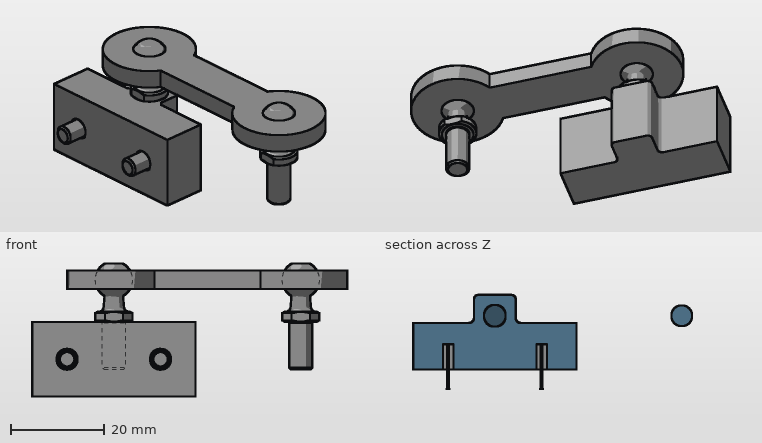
import cadquery as cq
import math

block_length = 35.0
block_depth = 10.0
block_height = 16.0
lug_width = 9.0
lug_reach = 6.0
lug_fillet = 1.0

stud_spacing = 40.0
stud_x = block_length / 2
stud_y = block_depth + lug_reach - lug_width / 2
stud_positions = [(stud_x, stud_y), (stud_x + stud_spacing, stud_y)]
ball_diameter = 8.0
ball_height = 9.0
ball_flat_height = 3.5
neck_top_diameter = 4.0
neck_bottom_diameter = 4.6
neck_top_fillet = 0.4
neck_bottom_fillet = 0.95
ball_flat_fillet = 0.2
collar_diameter = 8.0
collar_across_flats = 7.0
collar_height = 2.2
collar_face_diameter = 6.8
collar_chamfer_angle = 30.0
shoulder_diameter = 5.1
shoulder_length = 0.2
thread_diameter = 5.0
thread_core_diameter = 4.13
thread_length = 10.2

link_thickness = 4.0
link_eye_diameter = 20.0
link_bar_width = 10.0

pin_spacing = 20.0
pin_diameter = 4.0
pin_clearance_diameter = 4.5
pin_length = 10.0
pin_protrusion = 4.6
pin_chamfer = 0.45
pin_z = block_height / 2
pin_positions = [block_length / 2 - pin_spacing / 2, block_length / 2 + pin_spacing / 2]

ball_radius = ball_diameter / 2
ball_z = block_height + ball_height


def cylinder_along_y(x, y_start, length, diameter):
    """Cylinder at pin height that runs from y_start towards +Y."""
    plane = cq.Plane(origin=(x, y_start, pin_z), xDir=(1, 0, 0), normal=(0, 1, 0))
    return cq.Workplane(plane).circle(diameter / 2).extrude(length)


def make_block():
    """T-shaped block with a rear lug, a stud hole and blind clearance holes for the pins."""
    body = cq.Workplane("XY").box(block_length, block_depth, block_height, centered=False)
    lug = (
        cq.Workplane("XY")
        .center(stud_x, (block_depth + lug_reach) / 2)
        .rect(lug_width, block_depth + lug_reach)
        .extrude(block_height)
    )
    body = body.union(lug)
    lug_left = stud_x - lug_width / 2
    lug_right = stud_x + lug_width / 2
    lug_edges = cq.selectors.BoxSelector(
        (lug_left - lug_fillet, block_depth - lug_fillet, 0),
        (lug_right + lug_fillet, block_depth + lug_reach + lug_fillet, block_height),
    )
    body = body.edges("|Z").edges(lug_edges).fillet(lug_fillet)
    for x in pin_positions:
        body = body.cut(cylinder_along_y(x, 0, pin_length - pin_protrusion, pin_clearance_diameter))
    return body


def fillet_ring(body, ring_radius, z, fillet_radius):
    """Round the circular edge of a Z-axis turned body that has the given radius and height."""
    reach = ring_radius + fillet_radius / 2
    ring = cq.selectors.BoxSelector(
        (-reach, -reach, z - fillet_radius / 2),
        (reach, reach, z + fillet_radius / 2),
        boundingbox=True,
    )
    return body.edges(ring).fillet(fillet_radius)


def make_stud(x, y):
    """Turned stud: threaded shank, collar with two flats, tapered neck and flat-topped ball."""
    thread_radius = thread_diameter / 2
    core_radius = thread_core_diameter / 2
    thread_chamfer = thread_radius - core_radius
    collar_radius = collar_diameter / 2
    collar_rim = collar_face_diameter / 2
    collar_chamfer = (collar_radius - collar_rim) * math.tan(math.radians(collar_chamfer_angle))
    shoulder_radius = shoulder_diameter / 2
    neck_bottom_radius = neck_bottom_diameter / 2
    neck_radius = neck_top_diameter / 2
    neck_meets_ball = ball_height - math.sqrt(ball_radius**2 - neck_radius**2)
    flat_radius = math.sqrt(ball_radius**2 - ball_flat_height**2)
    profile = (
        cq.Workplane("XZ")
        .moveTo(0, -thread_length)
        .lineTo(core_radius, -thread_length)
        .lineTo(thread_radius, -thread_length + thread_chamfer)
        .lineTo(thread_radius, -shoulder_length)
        .lineTo(shoulder_radius, -shoulder_length)
        .lineTo(shoulder_radius, 0)
        .lineTo(collar_rim, 0)
        .lineTo(collar_radius, collar_chamfer)
        .lineTo(collar_radius, collar_height - collar_chamfer)
        .lineTo(collar_rim, collar_height)
        .lineTo(neck_bottom_radius, collar_height)
        .lineTo(neck_radius, neck_meets_ball)
        .threePointArc((ball_radius, ball_height), (flat_radius, ball_height + ball_flat_height))
        .lineTo(0, ball_height + ball_flat_height)
        .close()
    )
    stud = profile.revolve(360, (0, 0, 0), (0, 1, 0))
    stud = fillet_ring(stud, neck_bottom_radius, collar_height, neck_bottom_fillet)
    stud = fillet_ring(stud, neck_radius, neck_meets_ball, neck_top_fillet)
    stud = fillet_ring(stud, flat_radius, ball_height + ball_flat_height, ball_flat_fillet)
    flat_depth = (collar_diameter - collar_across_flats) / 2
    for side in (-1, 1):
        flat_cut = (
            cq.Workplane("XY")
            .center(0, side * (collar_across_flats + flat_depth) / 2)
            .rect(collar_diameter, flat_depth)
            .extrude(collar_height)
        )
        stud = stud.cut(flat_cut)
    return stud.translate((x, y, block_height))


def make_link():
    """Flat link with a round eye at each end and a spherical socket for each ball."""
    bottom = cq.Workplane("XY", origin=(0, 0, ball_z - link_thickness / 2))
    body = (
        bottom.center(stud_x + stud_spacing / 2, stud_y)
        .rect(stud_spacing, link_bar_width)
        .extrude(link_thickness)
    )
    eyes = bottom.pushPoints(stud_positions).circle(link_eye_diameter / 2).extrude(link_thickness)
    body = body.union(eyes)
    for x, y in stud_positions:
        socket = cq.Workplane("XY").sphere(ball_radius).translate((x, y, ball_z))
        body = body.cut(socket)
    return body


def make_pin(x):
    """Straight pin with a chamfered front end, seated on the floor of its clearance hole."""
    pin = cylinder_along_y(x, -pin_protrusion, pin_length, pin_diameter)
    return pin.faces("<Y").chamfer(pin_chamfer)


studs = [make_stud(x, y) for x, y in stud_positions]
block = make_block().cut(studs[0])
link = make_link()
pins = [make_pin(x) for x in pin_positions]

bodies = [block, link] + studs + pins
result = cq.Compound.makeCompound([body.val() for body in bodies])